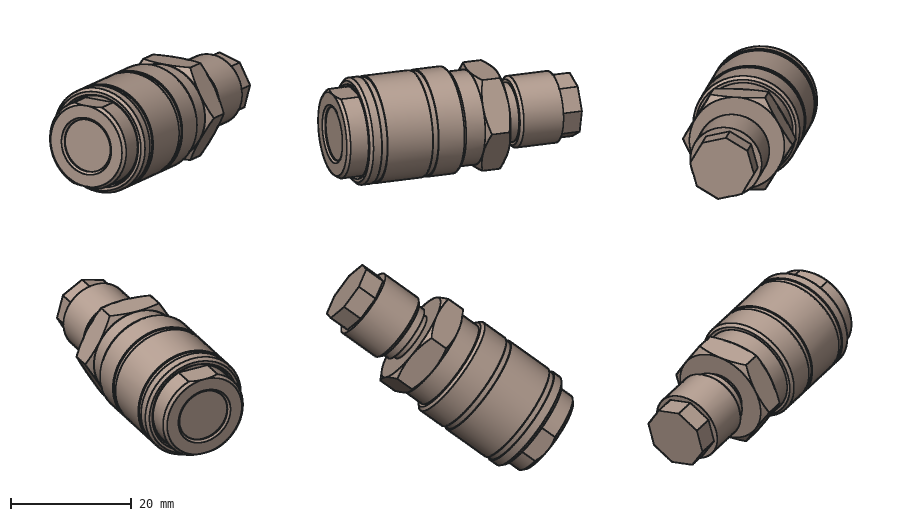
import cadquery as cq
import math

LENGTH = 42.0

BODY_START = 3.5
FRONT_GROOVE_START = 5.5
REAR_GROOVE_START = 14.5
GROOVE_WIDTH = 1.0
BODY_END = 20.5
NUT_START = 24.02
NUT_END = 28.5
FLANGE_START = 29.55
SLEEVE_START = 31.05
SLEEVE_END = 38.5

TIP_DIAMETER = 15.0
BODY_DIAMETER = 17.95
GROOVE_DIAMETER = 17.47
COLLAR_DIAMETER = 15.88
NECK_DIAMETER = 8.53
FLANGE_DIAMETER = 10.0
SLEEVE_DIAMETER = 12.0

EDGE_CHAMFER = 0.5

TIP_ACROSS_FLATS = 14.0
RECESS_DIAMETER = 9.8
RECESS_FLOOR_DIAMETER = 9.0
RECESS_CHAMFER_DEPTH = 0.35
RECESS_DEPTH = 0.5
GAP_MOUTH_DIAMETER = 15.88
GAP_FLOOR_DIAMETER = 15.3
GAP_DEPTH = 0.5

NUT_CORNER_DIAMETER = 18.5
NUT_ACROSS_FLATS = NUT_CORNER_DIAMETER * math.cos(math.pi / 6)
NUT_CHAMFER_ANGLE = math.radians(30)
OCTAGON_ACROSS_FLATS = 10.0
OCTAGON_TURN = 7.0


def revolve(points):
    """Turn a closed outline of (radius, y) points about the Y axis."""
    return cq.Workplane("XY").polyline(points).close().revolve(360, (0, 0, 0), (0, 1, 0))


def cylinder(diameter, start, end, start_chamfer=0.0, end_chamfer=0.0):
    """Round section along Y with optional 45 degree chamfers at its ends."""
    radius = diameter / 2
    outline = [(0, start), (radius - start_chamfer, start)]
    if start_chamfer:
        outline.append((radius, start + start_chamfer))
    if end_chamfer:
        outline.append((radius, end - end_chamfer))
    outline += [(radius - end_chamfer, end), (0, end)]
    return revolve(outline)


def prism(sides, corner_diameter, start, end):
    """Regular prism along Y with one corner on +X."""
    profile = cq.Workplane("XZ", origin=(0, start, 0)).polygon(sides, corner_diameter)
    return profile.extrude(start - end)


def make_tip():
    """Plug tip with two flats and a shallow recess with a chamfered rim in its face."""
    tip = cylinder(TIP_DIAMETER, 0, BODY_START + GAP_DEPTH, start_chamfer=EDGE_CHAMFER)
    flats = cq.Workplane("XY").box(2 * TIP_DIAMETER, LENGTH, TIP_ACROSS_FLATS)
    recess = revolve([
        (0, 0),
        (RECESS_DIAMETER / 2, 0),
        (RECESS_FLOOR_DIAMETER / 2, RECESS_CHAMFER_DEPTH),
        (RECESS_FLOOR_DIAMETER / 2, RECESS_DEPTH),
        (0, RECESS_DEPTH),
    ])
    return tip.intersect(flats).cut(recess)


def make_body():
    """Gripping body with two shallow grooves and a tapered mouth around the tip."""
    body = cylinder(BODY_DIAMETER, BODY_START, BODY_END, EDGE_CHAMFER, EDGE_CHAMFER)
    for start in (FRONT_GROOVE_START, REAR_GROOVE_START):
        end = start + GROOVE_WIDTH
        ring = cylinder(BODY_DIAMETER, start, end).cut(cylinder(GROOVE_DIAMETER, start, end))
        body = body.cut(ring)
    mouth = revolve([
        (0, BODY_START),
        (GAP_MOUTH_DIAMETER / 2, BODY_START),
        (GAP_FLOOR_DIAMETER / 2, BODY_START + GAP_DEPTH),
        (0, BODY_START + GAP_DEPTH),
    ])
    return body.cut(mouth)


def make_nut():
    """Hexagonal nut with its corners chamfered conically on both faces."""
    corner_radius = NUT_CORNER_DIAMETER / 2
    face_radius = NUT_ACROSS_FLATS / 2
    drop = (corner_radius - face_radius) * math.tan(NUT_CHAMFER_ANGLE)
    envelope = revolve([
        (0, NUT_START),
        (face_radius, NUT_START),
        (corner_radius, NUT_START + drop),
        (corner_radius, NUT_END - drop),
        (face_radius, NUT_END),
        (0, NUT_END),
    ])
    return prism(6, NUT_CORNER_DIAMETER, NUT_START, NUT_END).intersect(envelope)


def make_octagon():
    """Octagonal wrench end."""
    corner_diameter = OCTAGON_ACROSS_FLATS / math.cos(math.pi / 8)
    octagon = prism(8, corner_diameter, SLEEVE_END, LENGTH)
    return octagon.rotate((0, 0, 0), (0, 1, 0), -OCTAGON_TURN)


result = (
    make_body()
    .union(make_tip())
    .union(cylinder(COLLAR_DIAMETER, BODY_END, NUT_START))
    .union(make_nut())
    .union(cylinder(NECK_DIAMETER, NUT_END, FLANGE_START))
    .union(cylinder(FLANGE_DIAMETER, FLANGE_START, SLEEVE_START))
    .union(cylinder(SLEEVE_DIAMETER, SLEEVE_START, SLEEVE_END, start_chamfer=EDGE_CHAMFER))
    .union(make_octagon())
)